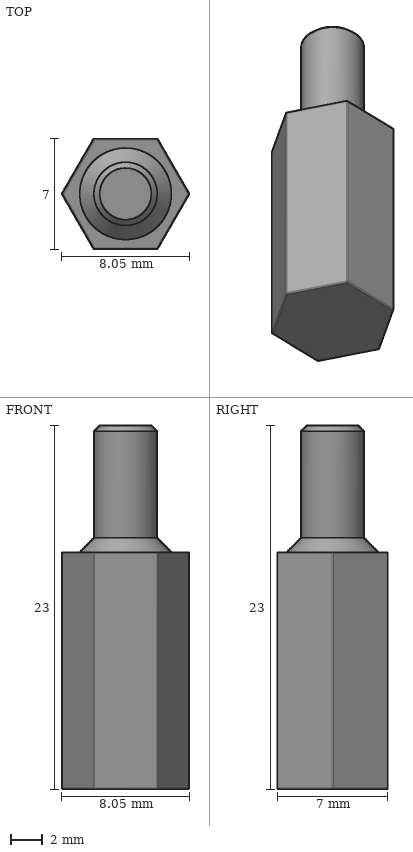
import cadquery as cq
import math

total_length = 23.0
hex_length = 15.0
across_flats = 7.0
edge_radius = 0.1
stud_diameter = 4.0
tip_chamfer = 0.37
collar_height = 0.9

stud_radius = stud_diameter / 2
across_corners = across_flats / math.cos(math.pi / 6)


def hex_body():
    """Hexagonal spacer with corners on the X axis and all edges slightly rounded."""
    body = cq.Workplane("XY").polygon(6, across_corners).extrude(hex_length)
    return body.edges().fillet(edge_radius)


def threaded_end():
    """Round stud with a conical collar at its root and a chamfered tip."""
    profile = [
        (0, hex_length - collar_height),
        (stud_radius + collar_height, hex_length - collar_height),
        (stud_radius + collar_height, hex_length),
        (stud_radius, hex_length + collar_height),
        (stud_radius, total_length - tip_chamfer),
        (stud_radius - tip_chamfer, total_length),
        (0, total_length),
    ]
    return cq.Workplane("XZ").polyline(profile).close().revolve(360, (0, 0), (0, 1))


result = hex_body().union(threaded_end())